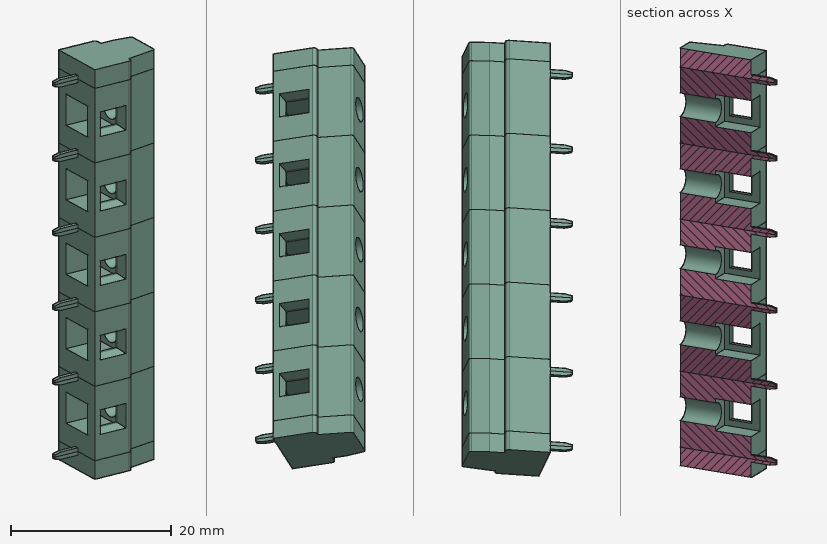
import cadquery as cq

LENGTH = 55.0
POLE_COUNT = 5
END_PLATE_PORTION = 0.25
POLE_PITCH = LENGTH / (POLE_COUNT + 2 * END_PLATE_PORTION)
END_THICKNESS = END_PLATE_PORTION * POLE_PITCH
TOTAL_DEPTH = 13.5

BASE_WIDTH = 8.1
BASE_DEPTH = 5.6
BASE_FILLET = 0.45
HOUSING_DEPTH = 10.0
TOWER_LEFT = -2.9
TOWER_LEFT_TAPER = 2.5
TOWER_BACK_LEFT = -2.55
TOWER_BACK_RIGHT = 2.6
TOWER_RIGHT = 3.3
TOWER_FILLET = 0.35

POCKET_WIDTH = 4.8
POCKET_HEIGHT = 4.2
POCKET_DEPTH = HOUSING_DEPTH / 2
HOLE_DIAMETER = 3.1

WINDOW_FRONT = 1.2
WINDOW_DEPTH = 3.1
WINDOW_HEIGHT = 2.55
THROAT_LENGTH = 0.35
WINDOW_FLARE = 0.4

PIN_LENGTH = TOTAL_DEPTH - HOUSING_DEPTH
PIN_WIDTH = 0.55
PIN_HEIGHT = 1.0
PIN_TIP_HEIGHT = 0.55
PIN_TIP_LENGTH = 0.9


def housing_slice(thickness):
    """Extrude the housing profile upwards from Z = 0."""
    half_width = BASE_WIDTH / 2
    body = (
        cq.Workplane("XY")
        .polyline(
            [
                (-half_width, 0),
                (half_width, 0),
                (half_width, BASE_DEPTH),
                (TOWER_RIGHT, BASE_DEPTH),
                (TOWER_BACK_RIGHT, HOUSING_DEPTH),
                (TOWER_BACK_LEFT, HOUSING_DEPTH),
                (TOWER_LEFT, HOUSING_DEPTH - TOWER_LEFT_TAPER),
                (TOWER_LEFT, BASE_DEPTH),
                (-half_width, BASE_DEPTH),
            ]
        )
        .close()
        .extrude(thickness)
    )
    base_corners = [(-half_width, BASE_DEPTH), (half_width, BASE_DEPTH)]
    tower_corners = [(TOWER_BACK_LEFT, HOUSING_DEPTH), (TOWER_BACK_RIGHT, HOUSING_DEPTH)]
    body = fillet_upright_edges(body, base_corners, BASE_FILLET)
    return fillet_upright_edges(body, tower_corners, TOWER_FILLET)


def fillet_upright_edges(body, corners, radius):
    """Round the Z-parallel edges that stand on the given profile corners."""
    for x, y in corners:
        edge = cq.selectors.NearestToPointSelector((x, y, body.val().Center().z))
        body = body.edges("|Z").edges(edge).fillet(radius)
    return body


def half_pin(side):
    """Half of a pin with its joint face on Z = 0; side is +1 for the upper half, -1 for the lower."""
    tip_start = PIN_TIP_LENGTH - PIN_LENGTH
    half_height = side * PIN_HEIGHT / 2
    return (
        cq.Workplane("YZ")
        .polyline(
            [
                (0, 0),
                (-PIN_LENGTH, 0),
                (-PIN_LENGTH, side * PIN_TIP_HEIGHT / 2),
                (tip_start, half_height),
                (0, half_height),
            ]
        )
        .close()
        .extrude(PIN_WIDTH / 2, both=True)
    )


def side_window():
    """Cutter for the side window, centred on Z = 0."""
    pocket_wall = POCKET_WIDTH / 2
    flare_start = pocket_wall + THROAT_LENGTH
    middle = WINDOW_FRONT + WINDOW_DEPTH / 2
    throat = (
        cq.Workplane("YZ", origin=(0, middle, 0))
        .rect(WINDOW_DEPTH, WINDOW_HEIGHT)
        .extrude(flare_start)
    )
    flare = (
        cq.Workplane("YZ", origin=(flare_start, middle, 0))
        .rect(WINDOW_DEPTH, WINDOW_HEIGHT)
        .workplane(offset=BASE_WIDTH / 2 - flare_start)
        .rect(WINDOW_DEPTH + 2 * WINDOW_FLARE, WINDOW_HEIGHT + 2 * WINDOW_FLARE)
        .loft(ruled=True)
    )
    return throat.union(flare)


def pole():
    """One pole with its lower joint on Z = 0."""
    middle = POLE_PITCH / 2
    pocket = cq.Workplane("XY").box(
        POCKET_WIDTH, POCKET_DEPTH, POCKET_HEIGHT, centered=(True, False, True)
    )
    hole = cq.Workplane("XZ").circle(HOLE_DIAMETER / 2).extrude(-HOUSING_DEPTH)
    return (
        housing_slice(POLE_PITCH)
        .cut(pocket.translate((0, 0, middle)))
        .cut(hole.translate((0, 0, middle)))
        .cut(side_window().translate((0, 0, middle)))
        .union(half_pin(1))
        .union(half_pin(-1).translate((0, 0, POLE_PITCH)))
    )


def lower_end_plate():
    """Plain plate below the first pole."""
    return housing_slice(END_THICKNESS).union(half_pin(-1).translate((0, 0, END_THICKNESS)))


def upper_end_plate():
    """Plain plate above the last pole."""
    return housing_slice(END_THICKNESS).union(half_pin(1))


first_joint = END_THICKNESS
last_joint = LENGTH - END_THICKNESS

bottom_plate = lower_end_plate()
poles = [pole().translate((0, 0, first_joint + i * POLE_PITCH)) for i in range(POLE_COUNT)]
top_plate = upper_end_plate().translate((0, 0, last_joint))

result = cq.Compound.makeCompound(
    [bottom_plate.val(), *[body.val() for body in poles], top_plate.val()]
)